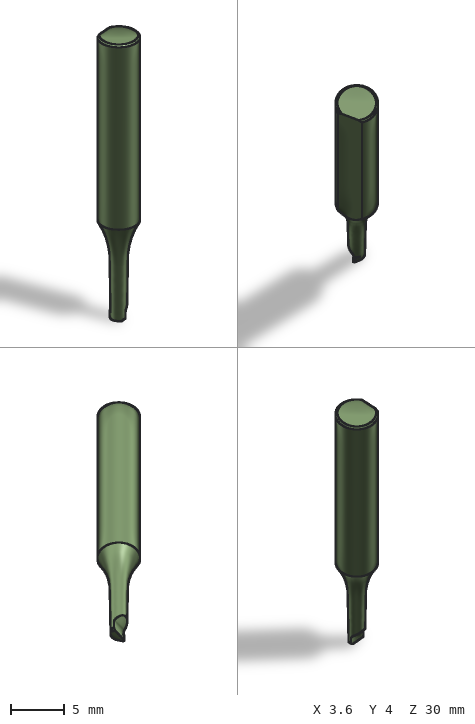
import math

import cadquery as cq

total_length = 30.0
shank_radius = 2.0
top_chamfer = 0.2
flat_offset = 1.6

neck_top = 10.5
neck_bottom = 6.0
flare_angle = 30.0
neck_radius = 0.86
head_radius = 0.79
head_height = 0.8

relief_root = 1.18
relief_fillet = 0.5

tooth_reach = 0.93
tooth_bevel_height = 0.22

end_clearance_angle = 8.0
end_rise_angle = 3.0
nose_chamfer = 0.22

margin = 3.0


def make_body():
    """Shank, flared neck and tapered shaft, turned about Z from the -Y side."""
    drop = shank_radius - neck_radius
    height = neck_top - neck_bottom
    chord_angle = math.atan2(drop, height)
    end_angle = math.radians(flare_angle)
    arc_radius = math.hypot(drop, height) / (2 * math.sin(end_angle - chord_angle))
    half_span = end_angle - chord_angle
    sagitta = arc_radius * (1 - math.cos(half_span))
    mid_radius = (shank_radius + neck_radius) / 2 - sagitta * math.cos(chord_angle)
    mid_height = (neck_top + neck_bottom) / 2 + sagitta * math.sin(chord_angle)
    return (
        cq.Workplane("YZ")
        .moveTo(0, 0)
        .lineTo(-head_radius, 0)
        .lineTo(-head_radius, head_height)
        .lineTo(-neck_radius, neck_bottom)
        .threePointArc((-mid_radius, mid_height), (-shank_radius, neck_top))
        .lineTo(-shank_radius, total_length - top_chamfer)
        .lineTo(-shank_radius + top_chamfer, total_length)
        .lineTo(0, total_length)
        .close()
        .revolve(360, (0, 0), (0, 1))
    )


def make_clamping_flat():
    """Block beyond the flat on the -X side, along the whole length."""
    return cq.Workplane("XY").box(
        margin, 2 * margin, total_length, centered=(False, True, False)
    ).translate((-flat_offset - margin, 0, 0))


def make_relief():
    """Block on the +Y side of the tip with a filleted 45 degree run-out."""
    return (
        cq.Workplane("YZ")
        .moveTo(0, -margin)
        .lineTo(0, relief_root)
        .lineTo(margin, relief_root + margin)
        .lineTo(margin, -margin)
        .close()
        .extrude(margin, both=True)
        .edges(cq.selectors.NearestToPointSelector((0, 0, relief_root)))
        .fillet(relief_fillet)
    )


def make_tooth():
    """Tooth with a narrow land and a bevelled top.

    Its 45 degree clearance face runs tangent into the round of the head.
    """
    heel = head_radius * math.sqrt(0.5)
    land_depth = 2 * heel - tooth_reach
    tooth = (
        cq.Workplane("XY")
        .moveTo(0, 0)
        .lineTo(-tooth_reach, 0)
        .lineTo(-tooth_reach, -land_depth)
        .lineTo(-heel, -heel)
        .close()
        .extrude(head_height)
    )
    bevel = (
        cq.Workplane("XZ")
        .moveTo(-tooth_reach, head_height - tooth_bevel_height)
        .lineTo(-head_radius, head_height)
        .lineTo(-tooth_reach, head_height)
        .close()
        .extrude(margin)
    )
    return tooth.cut(bevel)


def make_end_clearance():
    """Block under the tip, pivoting on the tooth corner to rise to +X and -Y."""
    return (
        cq.Workplane("XY")
        .box(2 * margin, 2 * margin, margin)
        .translate((0, 0, -margin / 2))
        .rotate((0, 0, 0), (1, 0, 0), -end_clearance_angle)
        .rotate((0, 0, 0), (0, 1, 0), -end_rise_angle)
        .translate((-tooth_reach, 0, 0))
    )


def make_nose_chamfer():
    """Wedge across the lower +X corner of the tip, starting above the end face."""
    end_rise = (tooth_reach + head_radius) * math.tan(math.radians(end_rise_angle))
    corner_height = end_rise + nose_chamfer
    return (
        cq.Workplane("XZ")
        .moveTo(head_radius, corner_height)
        .lineTo(head_radius - corner_height, 0)
        .lineTo(head_radius, 0)
        .close()
        .extrude(margin)
    )


result = (
    make_body()
    .cut(make_clamping_flat())
    .cut(make_relief())
    .union(make_tooth())
    .cut(make_end_clearance())
    .cut(make_nose_chamfer())
)